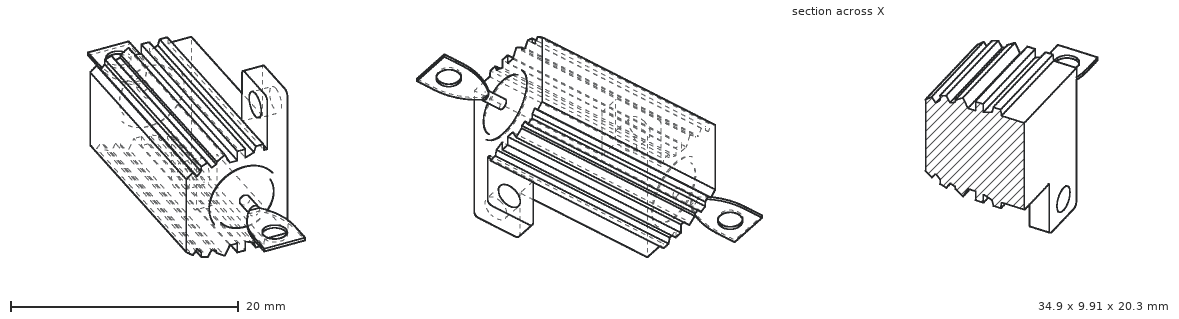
import cadquery as cq
import math


body_length = 19.05
body_depth = 9.91
back_y = 4.20

base_height = 4.68
fin_height = 5.32
floor_height = 4.35
low_fin_height = 4.97
low_fin_shoulder = 4.75
front_height = 3.83

overall_height = 20.32
tab_width = 5.03
tab_thickness = 1.98
tab_corner_radius = 0.5
hole_diameter = 2.39
hole_spacing_x = 14.27
hole_spacing_z = 15.88

groove_inner_radius = 2.80
groove_outer_radius = 3.52
groove_depth = 0.2

overall_length = 34.93
lead_diameter = 1.0
lead_length = 1.90
lug_width = 4.0
lug_thickness = 0.3
lug_straight_length = 2.0
lug_hole_diameter = 2.2

half_body = body_length / 2
half_length = overall_length / 2
tab_front_y = back_y - tab_thickness


def make_body():
    """Extruded housing with the same fins above and below the lead axis."""
    upper_outline = [
        (0, base_height),
        (2.28, base_height),
        (2.36, fin_height),
        (3.11, fin_height),
        (3.28, 4.73),
        (4.12, 4.42),
        (4.12, fin_height),
        (4.91, fin_height),
        (4.91, floor_height),
        (5.64, floor_height),
        (6.14, fin_height),
        (6.92, 4.80),
        (6.97, 4.54),
        (7.43, floor_height),
        (7.82, low_fin_height),
        (8.45, low_fin_shoulder),
        (8.47, 4.25),
        (8.86, front_height),
        (9.27, floor_height),
        (body_depth, front_height),
    ]
    upper = [(back_y - depth, height) for depth, height in upper_outline]
    lower = [(y, -z) for y, z in reversed(upper)]
    profile = cq.Workplane("YZ").polyline(upper + lower).close()
    return profile.extrude(half_body, both=True)


def make_tab(side):
    """Drilled mounting tab: side 1 is at +X, +Z and side -1 is at -X, -Z."""
    tab_height = overall_height / 2
    tab = (
        cq.Workplane("XY")
        .box(tab_width, tab_thickness, tab_height, centered=(True, False, False))
        .edges(">Z and |Y")
        .fillet(tab_corner_radius)
        .translate((half_body - tab_width / 2, tab_front_y, 0))
    )
    hole = (
        cq.Workplane("XZ", origin=(0, back_y, 0))
        .center(hole_spacing_x / 2, hole_spacing_z / 2)
        .circle(hole_diameter / 2)
        .extrude(tab_thickness)
    )
    tab = tab.cut(hole)
    if side < 0:
        tab = tab.rotate((0, 0, 0), (0, 1, 0), 180)
    return tab


def make_groove(side):
    """Cutter for the flat-bottomed ring groove; each wall rounds over, then rounds into the bottom."""
    r = groove_depth / 2
    near = r * math.sqrt(0.5)
    far = r - near
    mouth_x = half_body
    middle_x = half_body - r
    bottom_x = half_body - groove_depth
    inner_wall = groove_inner_radius + r
    outer_wall = groove_outer_radius - r
    section = (
        cq.Workplane("XY")
        .moveTo(mouth_x, groove_inner_radius)
        .threePointArc((mouth_x - far, inner_wall - far), (middle_x, inner_wall))
        .threePointArc((middle_x - near, inner_wall + far), (bottom_x, inner_wall + r))
        .lineTo(bottom_x, outer_wall - r)
        .threePointArc((middle_x - near, outer_wall - far), (middle_x, outer_wall))
        .threePointArc((mouth_x - far, outer_wall + far), (mouth_x, groove_outer_radius))
        .close()
    )
    groove = section.revolve(360, (0, 0, 0), (1, 0, 0))
    return groove if side > 0 else groove.mirror("YZ")


def make_terminal(side):
    """Round lead with a flat pierced lug whose sides curve in to the lead."""
    lug_root = half_body + lead_length
    curve_end = half_length - lug_straight_length
    half_width = lug_width / 2
    half_root = lead_diameter / 2
    lead = cq.Workplane("YZ", origin=(half_body, 0, 0)).circle(half_root).extrude(lead_length)
    lug = (
        cq.Workplane("XY")
        .moveTo(half_length, half_width)
        .lineTo(curve_end, half_width)
        .tangentArcPoint((lug_root, half_root), relative=False)
        .lineTo(lug_root, 0)
        .lineTo(half_length, 0)
        .close()
        .extrude(lug_thickness / 2, both=True)
    )
    lug = lug.union(lug.mirror("XZ"))
    lug_hole = (
        cq.Workplane("XY")
        .center(curve_end, 0)
        .circle(lug_hole_diameter / 2)
        .extrude(lug_thickness, both=True)
    )
    terminal = lead.union(lug.cut(lug_hole))
    return terminal if side > 0 else terminal.mirror("YZ")


result = make_body()
for end in (-1, 1):
    result = result.union(make_tab(end))
for end in (-1, 1):
    result = result.cut(make_groove(end))
    result = result.union(make_terminal(end))